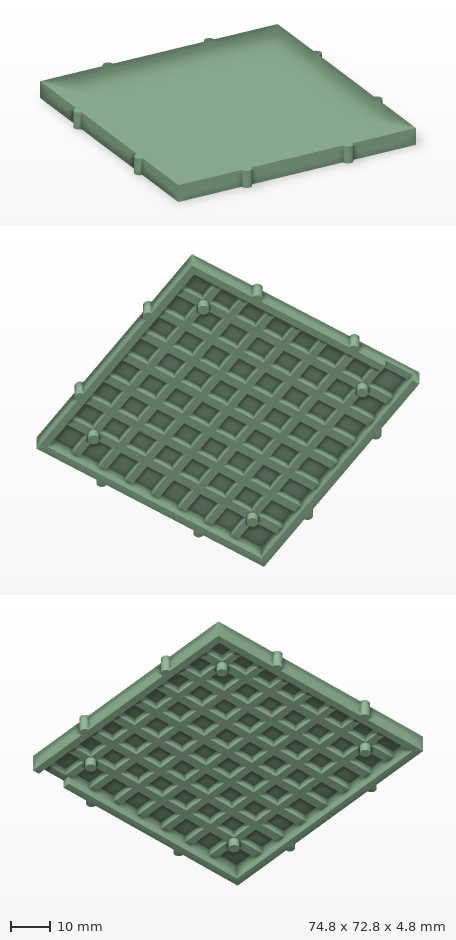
import cadquery as cq

plate_length = 71.95
plate_width = 69.95
plate_height = 4.8

round_diameter = 2.85
nub_spacing_x = 31.65
nub_spacing_y = 29.85

wall = 2.0
inner_length = plate_length - 2 * wall
inner_width = plate_width - 2 * wall
recess_depth = 2.4
skin = 0.3
rib_height = plate_height - recess_depth - skin
ribs_per_direction = 7
rib_pitch_x = inner_length / (ribs_per_direction + 1)
rib_pitch_y = 8.15
rib_thickness_x = 2.5
rib_thickness_y = 2.1

opening_width = 8.4


def block(length, width, height, bottom=0):
    """Box centred on the Z axis, standing at the given height."""
    return (
        cq.Workplane("XY", origin=(0, 0, bottom))
        .box(length, width, height, centered=(True, True, False))
    )


def cylinders(points, height):
    """Upright cylinders standing on the bottom plane."""
    return cq.Workplane("XY").pushPoints(points).circle(round_diameter / 2).extrude(height)


def edge_nubs():
    """Two nubs on each edge of the plate."""
    points = []
    for side in (-1, 1):
        for end in (-1, 1):
            points.append((side * nub_spacing_x / 2, end * plate_width / 2))
            points.append((end * plate_length / 2, side * nub_spacing_y / 2))
    return cylinders(points, plate_height)


def wall_opening():
    """Gap in the -X wall, as tall as the recess."""
    return (
        cq.Workplane("XY")
        .box(wall, opening_width, recess_depth, centered=False)
        .translate((-plate_length / 2, wall - plate_width / 2, 0))
    )


def rib_grid():
    """Crossing ribs between the recess and the top skin."""
    middle = (ribs_per_direction - 1) / 2
    rib_along_y = block(rib_thickness_x, inner_width, rib_height, recess_depth)
    rib_along_x = block(inner_length, rib_thickness_y, rib_height, recess_depth)
    grid = cq.Workplane("XY")
    for index in range(ribs_per_direction):
        step = index - middle
        grid = grid.union(rib_along_y.translate((step * rib_pitch_x, 0, 0)))
        grid = grid.union(rib_along_x.translate((0, step * rib_pitch_y, 0)))
    return grid


def corner_pins():
    """Pins hanging from the four outermost rib crossings to the bottom plane."""
    outermost = (ribs_per_direction - 1) / 2
    pin_x = outermost * rib_pitch_x
    pin_y = outermost * rib_pitch_y
    return cylinders([(x, y) for x in (-pin_x, pin_x) for y in (-pin_y, pin_y)], recess_depth)


shell = block(plate_length, plate_width, plate_height).union(edge_nubs())
shell = shell.cut(block(inner_length, inner_width, plate_height - skin)).cut(wall_opening())
result = shell.union(rib_grid()).union(corner_pins())